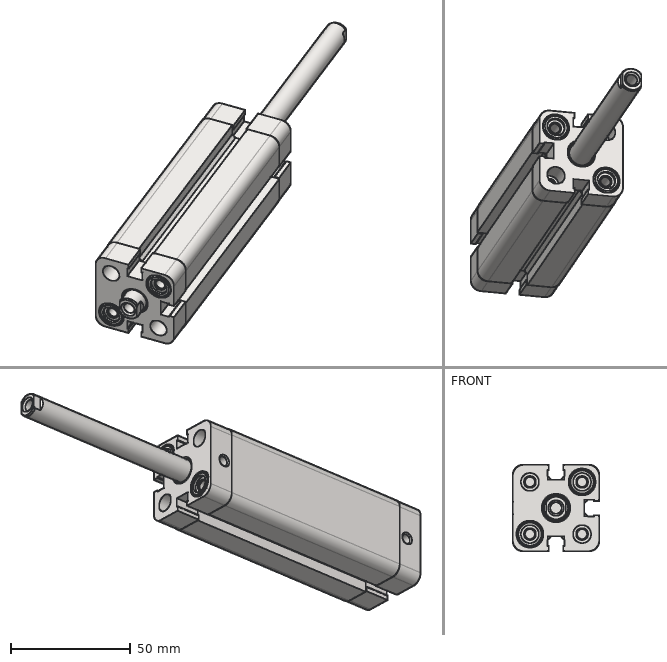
import cadquery as cq


total_length = 210.0
tube_side = 36.3
cap_side = 36.1
corner_radius = 4.5

rod_front_y = -total_length / 2
front_stick_out = 6.5
cap_length = 11.8
tube_length = 93.7
front_face_y = rod_front_y + front_stick_out
tube_front_y = front_face_y + cap_length
tube_rear_y = tube_front_y + tube_length

slot_depth = 6.3
slot_width = 7.0
slot_mouth_width = 5.9
slot_lip = 2.3
slot_floor_z = tube_side / 2 - slot_depth
slot_lip_z = tube_side / 2 - slot_lip
slot_corner = 1.5
slot_angles = (0, 90, 180)

rod_diameter = 10.0
rod_chamfer_length = 0.8
rod_chamfer_depth = 0.32
flat_width = 8.0
flat_length = 4.2
flat_runout = 0.6
rod_thread_diameter = 4.8
rod_thread_depth = 10.5
rod_thread_chamfer = 0.8

rod_mouth_diameter = 12.0
rod_recess_diameter = 11.0
rod_recess_depth = 0.6

hole_offset = 11.0
counterbore_diameter = 7.5
counterbore_depth = 10.5
thread_diameter = 5.0
thread_core_diameter = 4.2
thread_depth = 0.6
groove_outer_diameter = 11.3
hub_top_diameter = 9.7
hub_base_diameter = 11.0
groove_depth = 0.6
hub_recess_depth = 1.3

port_inset = 7.5
port_mouth_diameter = 5.5
port_diameter = 4.2
port_mouth_depth = 0.6


def along_y(start_y):
    """Workplane at start_y that extrudes toward +Y, with local X = -X and local Y = +Z."""
    return cq.Workplane("XZ", origin=(0, start_y, 0)).transformed(rotate=(0, 180, 0))


def cylinder(x, y, z, diameter, length):
    return along_y(y).center(-x, z).circle(diameter / 2).extrude(length)


def cone_at(start, direction, start_diameter, end_diameter, length):
    solid = cq.Solid.makeCone(start_diameter / 2, end_diameter / 2, length, start, direction)
    return cq.Workplane(solid)


def cone(x, y, z, start_diameter, end_diameter, length):
    return cone_at(cq.Vector(x, y, z), cq.Vector(0, 1, 0), start_diameter, end_diameter, length)


def square_block(start_y, length, width):
    return along_y(start_y).rect(width, width).extrude(length).edges("|Y").fillet(corner_radius)


def around_axis(cutter):
    return [cutter.rotate((0, 0, 0), (0, 1, 0), angle) for angle in slot_angles]


def slot_groove(start_y, length, bottom_z, top_z):
    middle = along_y(start_y).center(0, (bottom_z + top_z) / 2)
    return middle.rect(slot_width, top_z - bottom_z).extrude(length)


def make_tube():
    tube = square_block(tube_front_y, tube_length, tube_side)
    groove = slot_groove(tube_front_y, tube_length, slot_floor_z, tube_side / 2)
    groove = groove.edges("|Y and <Z").chamfer(slot_corner)
    for cutter in around_axis(groove):
        tube = tube.cut(cutter)
    return tube.cut(cylinder(0, tube_front_y, 0, rod_diameter, tube_length))


def make_cap():
    cap = square_block(front_face_y, cap_length, cap_side)

    groove = slot_groove(front_face_y, cap_length, slot_floor_z, slot_lip_z)
    mouth = along_y(front_face_y).center(0, slot_lip_z + slot_lip / 2)
    groove = groove.union(mouth.rect(slot_mouth_width, slot_lip).extrude(cap_length))
    for cutter in around_axis(groove):
        cap = cap.cut(cutter)

    cap = cap.cut(cylinder(0, front_face_y, 0, rod_diameter, cap_length))
    cap = cap.cut(cone(0, front_face_y, 0, rod_mouth_diameter, rod_recess_diameter, rod_recess_depth))

    for x_sign in (-1, 1):
        for z_sign in (-1, 1):
            x = x_sign * hole_offset
            z = z_sign * hole_offset
            if x_sign == z_sign:
                groove = cylinder(x, front_face_y, z, groove_outer_diameter, groove_depth)
                hub = cone(x, front_face_y, z, hub_top_diameter, hub_base_diameter, groove_depth)
                cap = cap.cut(groove.cut(hub))
                depth = hub_recess_depth
            else:
                depth = counterbore_depth
            cap = cap.cut(cylinder(x, front_face_y, z, counterbore_diameter, depth))
            seat_y = front_face_y + depth
            cap = cap.cut(cylinder(x, seat_y, z, thread_diameter, thread_depth))
            cap = cap.cut(cylinder(x, seat_y, z, thread_core_diameter, cap_length - depth))

    port_y = front_face_y + port_inset
    port_start = cq.Vector(-cap_side / 2, port_y, 0)
    inward = cq.Vector(1, 0, 0)
    port = cq.Solid.makeCylinder(port_diameter / 2, cap_side / 2, port_start, inward)
    mouth = cone_at(port_start, inward, port_mouth_diameter, port_diameter, port_mouth_depth)
    return cap.cut(cq.Workplane(port)).cut(mouth)


def make_rod():
    rod = along_y(rod_front_y).circle(rod_diameter / 2).extrude(total_length)
    rod = rod.faces("<Y or >Y").chamfer(rod_chamfer_length, rod_chamfer_depth)

    flat_x = flat_width / 2
    surface_x = rod_diameter / 2
    inner_y = rod_front_y + flat_length
    flat_cutter = (
        cq.Workplane("XY", origin=(0, 0, -surface_x))
        .moveTo(flat_x, rod_front_y)
        .lineTo(surface_x, rod_front_y)
        .lineTo(surface_x, inner_y)
        .lineTo(flat_x, inner_y - flat_runout)
        .close()
        .extrude(rod_diameter)
    )

    mouth_diameter = rod_thread_diameter + 2 * rod_thread_chamfer
    thread_hole = cylinder(0, rod_front_y, 0, rod_thread_diameter, rod_thread_depth)
    thread_mouth = cone(0, rod_front_y, 0, mouth_diameter, rod_thread_diameter, rod_thread_chamfer)

    for cutter in (flat_cutter, flat_cutter.mirror("YZ"), thread_hole, thread_mouth):
        rod = rod.cut(cutter).cut(cutter.mirror("XZ"))
    return rod


tube = make_tube()
front_cap = make_cap()
rear_cap = front_cap.mirror("XZ", (0, (tube_front_y + tube_rear_y) / 2, 0))
rod = make_rod()
result = cq.Compound.makeCompound([tube.val(), front_cap.val(), rear_cap.val(), rod.val()])